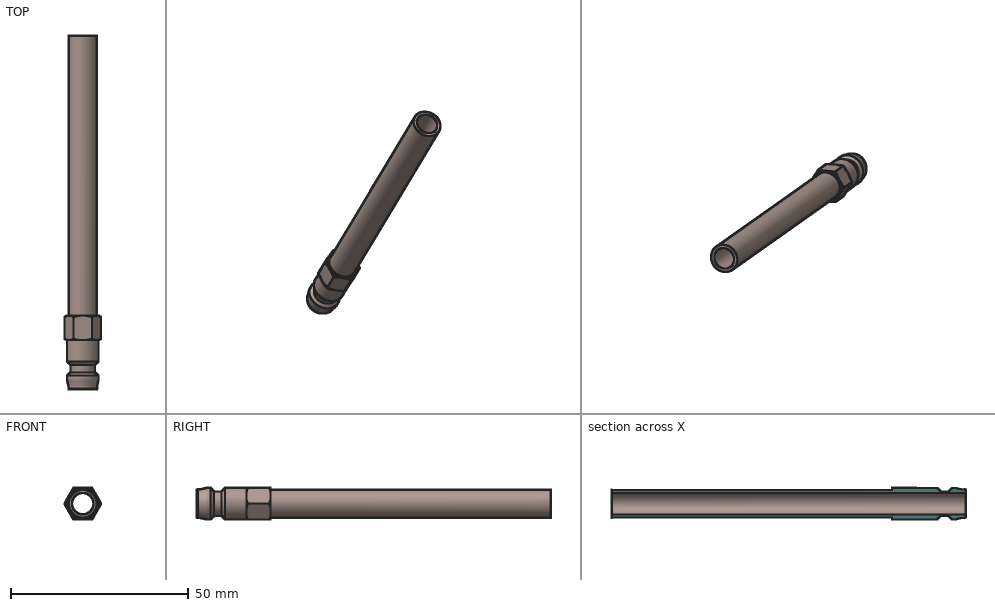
import cadquery as cq
import math

total_length = 100.0
bore_diameter = 6.0
tube_diameter = 8.0
nose_diameter = 8.2
body_diameter = 9.0
groove_diameter = 7.0
hex_across_flats = 9.0

nose_chamfer_length = 0.35
nose_chamfer_depth = 0.15
nose_land_end = 1.0
collar_start = 2.8
collar_end = 3.95
groove_start = 4.9
groove_end = 7.0
body_start = 8.0
hex_start = 14.0
hex_end = 20.9

hex_chamfer_angle = 30.0
hex_face_diameter = 9.1

bore_radius = bore_diameter / 2
tube_radius = tube_diameter / 2
nose_radius = nose_diameter / 2
body_radius = body_diameter / 2
groove_radius = groove_diameter / 2
hex_sides = 6
hex_corner_diameter = hex_across_flats / math.cos(math.pi / hex_sides)


def revolve_about_y(points):
    """Turn a closed (radius, y) outline around the Y axis."""
    return cq.Workplane("XY").polyline(points).close().revolve(360, (0, 0, 0), (0, 1, 0))


def turned_body():
    """Nose, collar, groove, body and long tube as one turned solid."""
    outline = [
        (0, 0),
        (nose_radius - nose_chamfer_depth, 0),
        (nose_radius, nose_chamfer_length),
        (nose_radius, nose_land_end),
        (body_radius, collar_start),
        (body_radius, collar_end),
        (groove_radius, groove_start),
        (groove_radius, groove_end),
        (body_radius, body_start),
        (body_radius, hex_start),
        (tube_radius, hex_start),
        (tube_radius, total_length),
        (0, total_length),
    ]
    return revolve_about_y(outline)


def hexagon():
    """Wrench hexagon with flats facing +Z and -Z and coned corners at both ends."""
    hex_length = hex_end - hex_start
    prism = (
        cq.Workplane("XZ", origin=(0, hex_end, 0))
        .polygon(hex_sides, hex_corner_diameter)
        .extrude(hex_length)
    )
    face_radius = hex_face_diameter / 2
    corner_radius = hex_corner_diameter / 2
    cone_length = (corner_radius - face_radius) * math.tan(math.radians(hex_chamfer_angle))
    envelope = revolve_about_y([
        (0, hex_start),
        (face_radius, hex_start),
        (corner_radius, hex_start + cone_length),
        (corner_radius, hex_end - cone_length),
        (face_radius, hex_end),
        (0, hex_end),
    ])
    return prism.intersect(envelope)


def bore():
    """Straight bore through the full length."""
    return cq.Workplane("XZ").circle(bore_radius).extrude(-total_length)


result = turned_body().union(hexagon()).cut(bore())